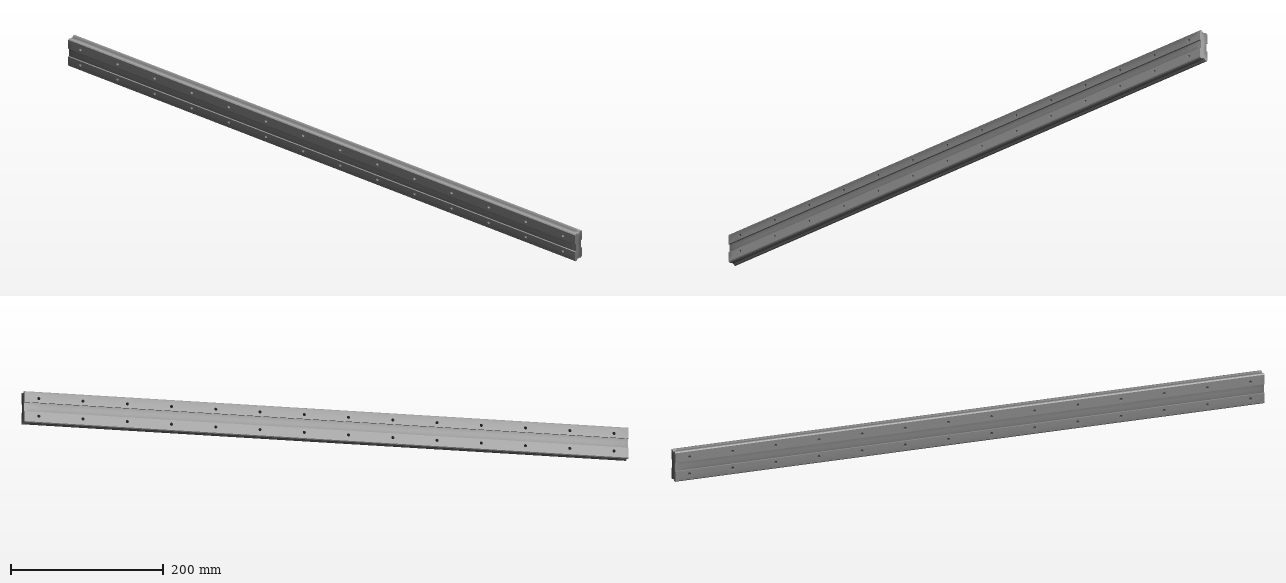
import cadquery as cq

length = 820.0
thickness = 15.0
height = 42.0

channel_width = 12.0
channel_depth = 2.05

groove_mouth_width = 7.0
groove_floor_width = 3.0
groove_depth = 2.0

edge_bevel = 1.2

hole_diameter = 4.0
holes_per_row = 14
end_margin = 20.0
hole_pitch = (length - 2 * end_margin) / (holes_per_row - 1)
row_spacing = 24.0


def make_bar():
    """Plain bar, centred on the origin, with bevelled long edges."""
    return cq.Workplane("XY").box(length, thickness, height).edges("|X").chamfer(edge_bevel)


def make_channel(side):
    """Cutter for the channel in the broad face on the given side of Y."""
    face_y = side * thickness / 2
    return cq.Workplane("XY").box(length, 2 * channel_depth, channel_width).translate((0, face_y, 0))


def make_groove(side):
    """Cutter for the tapered groove in the narrow face on the given side of Z."""
    face_z = side * height / 2
    floor_z = face_z - side * groove_depth
    outline = [
        (-groove_mouth_width / 2, face_z),
        (-groove_floor_width / 2, floor_z),
        (groove_floor_width / 2, floor_z),
        (groove_mouth_width / 2, face_z),
    ]
    return cq.Workplane("YZ").polyline(outline).close().extrude(length / 2, both=True)


def make_screw_holes():
    """Cutter for both rows of holes, running straight through along Y."""
    return (
        cq.Workplane("XZ")
        .rarray(hole_pitch, row_spacing, holes_per_row, 2)
        .circle(hole_diameter / 2)
        .extrude(thickness, both=True)
    )


result = make_bar()
for side in (-1, 1):
    result = result.cut(make_channel(side))
    result = result.cut(make_groove(side))
result = result.cut(make_screw_holes())